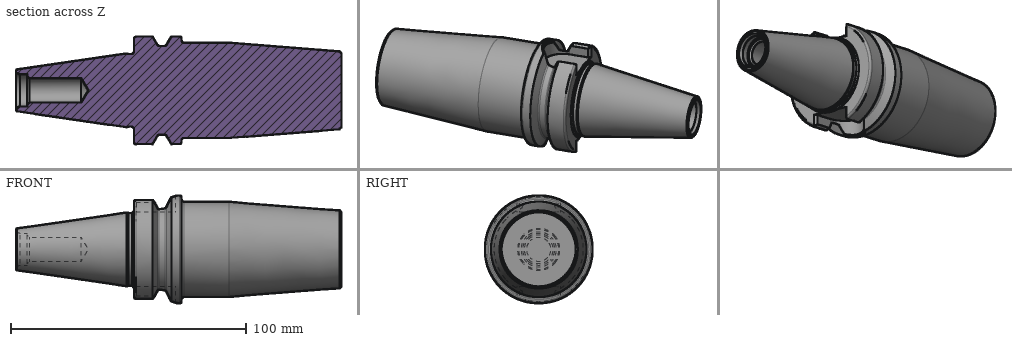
import cadquery as cq
import math

length = 138.4

gauge_radius = 15.8
taper_length = 47.0
taper_slope = 7 / 24 / 2
tip_radius = gauge_radius - taper_length * taper_slope
tip_chamfer = 0.4

neck_radius = 15.5
neck_start = 47.7
neck_end = 49.4
neck_flare_radius = 16.3

flange_radius = 23.0
flange_start = 50.1
groove_start = 58.1
groove_end = 66.0
groove_radius = 19.0
groove_half_angle = 30
groove_fillet = 0.7
groove_run = (flange_radius - groove_radius) * math.tan(math.radians(groove_half_angle))
flange_end = 70.5
flange_fillet = 1.0

body_radius = 20.3
body_end = 90.5
nose_angle = 4.5
nose_slope = math.tan(math.radians(nose_angle))
nose_radius = body_radius - (length - body_end) * nose_slope
nose_chamfer = 0.8

slot_half_width = 8.2
slot_floor = 15.8
slot_center = 59.7
slot_chamfer = 1.1
slot_end_chamfer = 0.7

mouth_radius = 7.5
mouth_depth = 1.7
counterbore_radius = 6.8
counterbore_depth = 4.7
countersink_radius = 6.1
bore_radius = 5.1
bore_depth = 27.7
drill_tip_angle = 118
countersink_depth = countersink_radius - bore_radius
drill_tip_depth = bore_radius / math.tan(math.radians(drill_tip_angle / 2))


def make_body():
    """Revolve the outer profile, written as (X, radius), about the X axis."""
    arc_offset = flange_fillet * (1 - math.sqrt(0.5))
    profile = (
        cq.Workplane("XY")
        .moveTo(0, 0)
        .lineTo(0, tip_radius - tip_chamfer)
        .lineTo(tip_chamfer, tip_radius + tip_chamfer * taper_slope)
        .lineTo(taper_length, gauge_radius)
        .lineTo(neck_start, neck_radius)
        .lineTo(neck_end, neck_radius)
        .lineTo(flange_start, neck_flare_radius)
        .lineTo(flange_start, flange_radius - flange_fillet)
        .threePointArc(
            (flange_start + arc_offset, flange_radius - arc_offset),
            (flange_start + flange_fillet, flange_radius),
        )
        .lineTo(groove_start, flange_radius)
        .lineTo(groove_start + groove_run, groove_radius)
        .lineTo(groove_end - groove_run, groove_radius)
        .lineTo(groove_end, flange_radius)
        .lineTo(flange_end - flange_fillet, flange_radius)
        .threePointArc(
            (flange_end - arc_offset, flange_radius - arc_offset),
            (flange_end, flange_radius - flange_fillet),
        )
        .lineTo(flange_end, body_radius + flange_fillet)
        .threePointArc(
            (flange_end + arc_offset, body_radius + arc_offset),
            (flange_end + flange_fillet, body_radius),
        )
        .lineTo(body_end, body_radius)
        .lineTo(length - nose_chamfer, nose_radius + nose_chamfer * nose_slope)
        .lineTo(length, nose_radius - nose_chamfer)
        .lineTo(length, 0)
        .close()
    )
    body = profile.revolve(360, (0, 0, 0), (1, 0, 0))
    groove_bottom = cq.selectors.BoxSelector(
        (groove_start, -flange_radius, -flange_radius),
        (groove_end, flange_radius, flange_radius),
        boundingbox=True,
    )
    return body.edges(groove_bottom).edges("%CIRCLE").fillet(groove_fillet)


def make_bore():
    """Stepped blind hole with a tapered mouth, a counterbore, a countersink and a drill tip."""
    points = [
        (0, 0),
        (0, mouth_radius),
        (mouth_depth, counterbore_radius),
        (counterbore_depth, counterbore_radius),
        (counterbore_depth, countersink_radius),
        (counterbore_depth + countersink_depth, bore_radius),
        (bore_depth, bore_radius),
        (bore_depth + drill_tip_depth, 0),
    ]
    return cq.Workplane("XY").polyline(points).close().revolve(360, (0, 0, 0), (1, 0, 0))


def make_slot():
    """Round-ended slot above the +Z floor."""
    height = flange_radius - slot_floor
    straight_length = slot_center - flange_start
    straight = cq.Workplane("XY").box(
        straight_length, 2 * slot_half_width, height, centered=(False, True, False)
    ).translate((flange_start, 0, slot_floor))
    end = cq.Workplane("XY", origin=(slot_center, 0, slot_floor)).circle(slot_half_width).extrude(height)
    return straight.union(end)


def make_slot_bevels():
    """Cut for the 45-degree edges of the slot walls in the front flange rim."""
    wide = slot_half_width + slot_chamfer
    wall_top = math.sqrt(flange_radius**2 - wide**2)
    rise = flange_radius - wall_top
    rim_bevel = (
        cq.Workplane("YZ", origin=(flange_start, 0, 0))
        .polyline([
            (-slot_half_width, wall_top - slot_chamfer),
            (slot_half_width, wall_top - slot_chamfer),
            (wide + rise, flange_radius),
            (-wide - rise, flange_radius),
        ])
        .close()
        .extrude(slot_center - flange_start)
    )
    face_bevel = (
        cq.Workplane("XY", origin=(0, 0, slot_floor))
        .polyline([
            (flange_start, -wide),
            (flange_start, wide),
            (flange_start + slot_chamfer, slot_half_width),
            (flange_start + slot_chamfer, -slot_half_width),
        ])
        .close()
        .extrude(flange_radius - slot_floor)
    )
    return rim_bevel.union(face_bevel)


def chamfer_slot_ends(body):
    """Chamfer the round slot ends where they meet the rear flange rim."""
    margin = 0.07
    rim_ends = cq.selectors.BoxSelector(
        (groove_end - margin, -slot_half_width, -flange_radius - margin),
        (slot_center + slot_half_width + margin, slot_half_width, flange_radius + margin),
        boundingbox=True,
    )
    return body.edges(rim_ends).edges("%BSPLINE").chamfer(slot_end_chamfer)


result = make_body().cut(make_bore())
for turn in (0, 180):
    result = result.cut(make_slot().rotate((0, 0, 0), (1, 0, 0), turn))
result = chamfer_slot_ends(result)
for turn in (0, 180):
    result = result.cut(make_slot_bevels().rotate((0, 0, 0), (1, 0, 0), turn))